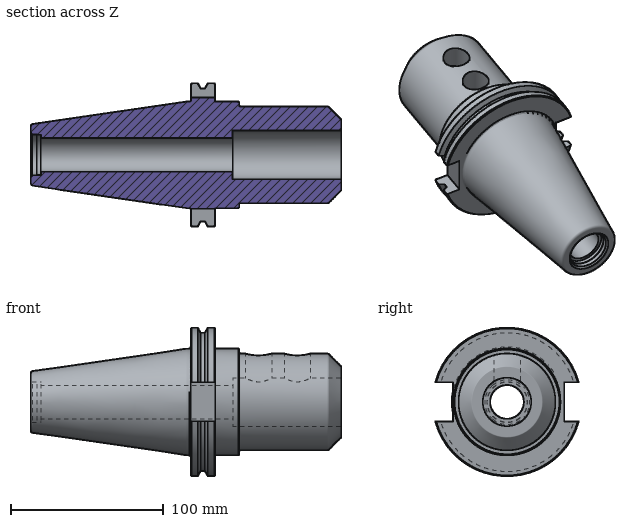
import cadquery as cq

length = 203.2
gauge_x = 101.8
flange_x = 104.9
flange_width = 15.9
collar_end_x = 136.5
nose_chamfer = 8.5

gauge_dia = 70.0
flange_dia = 97.3
collar_dia = 70.1
shank_dia = 63.5
taper_ratio = 7 / 24
small_dia = gauge_dia - taper_ratio * gauge_x

small_end_fillet = 1.8
flange_root_fillet = 1.2
rim_chamfer = 0.6
collar_chamfer = 0.8
shank_root_fillet = 0.6
shoulder_fillet = 1.6
nose_edge_fillet = 0.8

groove_offset = 4.5
groove_mouth = 6.5
groove_floor = 2.8
groove_depth = 3.3

slot_width = 25.6
slot_floor_front = 35.4
slot_floor_back = 37.5

through_dia = 22.0
entry_dia = 26.6
entry_depth = 4.0
seat_dia = 26.2
seat_depth = 6.7
entry_mouth_dia = 29.3
entry_chamfer = 1.0
shank_bore_dia = 31.7
shank_bore_x = 132.0
screw_dia = 17.3
first_screw_x = 149.0
screw_pitch = 25.5

flange_end_x = flange_x + flange_width


def revolve_about_x(points):
    """Revolve a closed (x, radius) outline around the X axis."""
    return cq.Workplane("XY").polyline(points).close().revolve(360, (0, 0, 0), (1, 0, 0))


def cylinder_along_x(start, end, diameter):
    return cq.Workplane("YZ", origin=(start, 0, 0)).circle(diameter / 2).extrude(end - start)


def ring_edge(body, x, radius):
    """Select the circular edge around the X axis with this position and radius."""
    reach = 0.02
    outer = radius + reach
    return body.edges(
        cq.selectors.BoxSelector(
            (x - reach, -outer, -outer), (x + reach, outer, outer), boundingbox=True
        )
    )


def make_taper():
    taper = revolve_about_x([
        (0, 0),
        (0, small_dia / 2),
        (gauge_x, gauge_dia / 2),
        (flange_x, gauge_dia / 2),
        (flange_x, 0),
    ])
    return taper.faces("<X").edges().fillet(small_end_fillet)


def make_flange():
    flange = cylinder_along_x(flange_x, flange_end_x, flange_dia)
    flange = flange.faces("<X or >X").edges().chamfer(rim_chamfer)
    rim_radius = flange_dia / 2
    clear_radius = rim_radius + groove_depth
    floor_radius = rim_radius - groove_depth
    groove_start = flange_x + groove_offset
    groove_side = (groove_mouth - groove_floor) / 2
    groove = revolve_about_x([
        (groove_start, rim_radius),
        (groove_start + groove_side, floor_radius),
        (groove_start + groove_side + groove_floor, floor_radius),
        (groove_start + groove_mouth, rim_radius),
        (groove_start + groove_mouth, clear_radius),
        (groove_start, clear_radius),
    ])
    return flange.cut(groove)


def make_flange_root():
    """Concave fillet between the gauge cylinder and the flange face."""
    radius = gauge_dia / 2
    size = flange_root_fillet
    bulge = size * (1 - 0.5 ** 0.5)
    return (
        cq.Workplane("XY")
        .moveTo(flange_x - size, radius)
        .threePointArc((flange_x - bulge, radius + bulge), (flange_x, radius + size))
        .lineTo(flange_x, radius - size)
        .lineTo(flange_x - size, radius - size)
        .close()
        .revolve(360, (0, 0, 0), (1, 0, 0))
    )


def make_shank():
    collar = cylinder_along_x(flange_end_x, collar_end_x, collar_dia)
    collar = collar.faces(">X").edges().chamfer(collar_chamfer)
    shank = cylinder_along_x(flange_end_x, length, shank_dia)
    shank = shank.faces(">X").edges().chamfer(nose_chamfer)
    shank = ring_edge(shank, length, shank_dia / 2 - nose_chamfer).fillet(nose_edge_fillet)
    shank = ring_edge(shank, length - nose_chamfer, shank_dia / 2).fillet(shoulder_fillet)
    body = collar.union(shank)
    return ring_edge(body, collar_end_x, shank_dia / 2).fillet(shank_root_fillet)


def make_drive_slots():
    front = cq.Workplane("XY").box(flange_width, flange_dia, slot_width, centered=(False, False, True))
    back = front.translate((flange_x, slot_floor_back, 0))
    front = front.translate((flange_x, -slot_floor_front - flange_dia, 0))
    return front.union(back)


def make_bores():
    entry_radius = entry_dia / 2
    entry = revolve_about_x([
        (0, 0),
        (0, entry_mouth_dia / 2),
        (entry_chamfer, entry_radius),
        (entry_depth, entry_radius),
        (entry_depth, seat_dia / 2),
        (seat_depth, seat_dia / 2),
        (seat_depth, 0),
    ])
    through = cylinder_along_x(0, length, through_dia)
    shank_bore = cylinder_along_x(shank_bore_x, length, shank_bore_dia)
    return entry.union(through).union(shank_bore)


def make_screw_holes():
    """Two radial holes from the top of the shank into its bore."""
    return (
        cq.Workplane("XY")
        .pushPoints([(first_screw_x, 0), (first_screw_x + screw_pitch, 0)])
        .circle(screw_dia / 2)
        .extrude(shank_dia)
    )


result = make_taper().union(make_flange_root()).union(make_flange()).union(make_shank())
result = result.cut(make_drive_slots()).cut(make_bores()).cut(make_screw_holes())